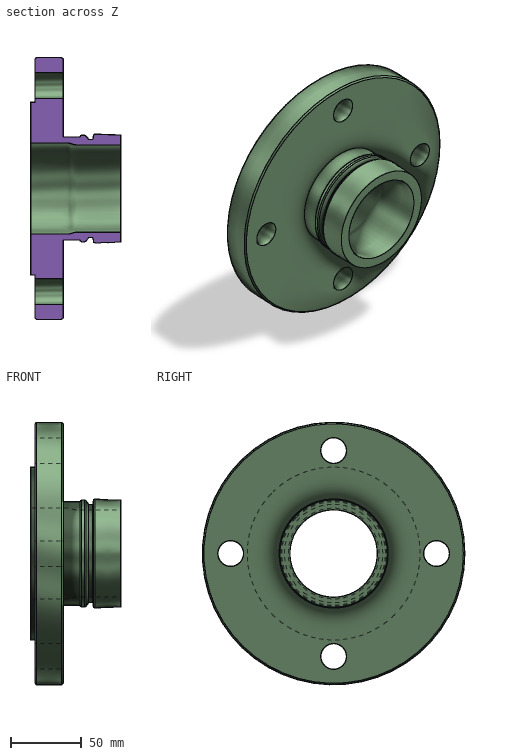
import cadquery as cq
import math

flange_diameter = 185.0
raised_face_diameter = 122.0
raised_face_height = 3.0
flange_back_x = 23.0
flange_chamfer = 1.1

bolt_hole_diameter = 18.0
bolt_circle_diameter = 145.0
bolt_count = 4

total_length = 63.5
neck_diameter = 73.0
collar_diameter = 75.5
collar_front_x = 34.8
collar_back_x = 39.0
collar_front_chamfer = 1.0
collar_back_chamfer_length = 1.1
collar_back_chamfer_depth = 0.5
groove_diameter = 69.4
groove_front_x = 40.9
groove_back_x = 43.7
sleeve_front_x = 44.2
sleeve_diameter = 77.0
sleeve_end_diameter = 75.7
sleeve_chamfer_length = 1.1
sleeve_chamfer_depth = 0.5

bore_diameter = 64.0
throat_diameter = 61.5
throat_taper_start_x = 26.5
throat_taper_angle = math.radians(18)
throat_entry_blend_radius = 4.3
throat_exit_blend_radius = 8.9


def spigot_blank():
    """Revolve the outer outline, drawn as (x, radius), about the X axis."""
    flange_radius = flange_diameter / 2
    raised_face_radius = raised_face_diameter / 2
    neck_radius = neck_diameter / 2
    collar_radius = collar_diameter / 2
    groove_radius = groove_diameter / 2
    sleeve_radius = sleeve_diameter / 2
    outline = [
        (0, 0),
        (0, raised_face_radius),
        (raised_face_height, raised_face_radius),
        (raised_face_height, flange_radius - flange_chamfer),
        (raised_face_height + flange_chamfer, flange_radius),
        (flange_back_x - flange_chamfer, flange_radius),
        (flange_back_x, flange_radius - flange_chamfer),
        (flange_back_x, neck_radius),
        (collar_front_x, neck_radius),
        (collar_front_x, collar_radius - collar_front_chamfer),
        (collar_front_x + collar_front_chamfer, collar_radius),
        (collar_back_x - collar_back_chamfer_length, collar_radius),
        (collar_back_x, collar_radius - collar_back_chamfer_depth),
        (groove_front_x, groove_radius),
        (groove_back_x, groove_radius),
        (sleeve_front_x, sleeve_radius - sleeve_chamfer_depth),
        (sleeve_front_x + sleeve_chamfer_length, sleeve_radius),
        (total_length, sleeve_end_diameter / 2),
        (total_length, 0),
    ]
    return cq.Workplane("XY").polyline(outline).close().revolve(360, (0, 0, 0), (1, 0, 0))


def blend_offset(radius, angle):
    """Axial and radial travel along an arc that turns by the angle from the axial direction."""
    return radius * math.sin(angle), radius * (1 - math.cos(angle))


def bore():
    """Solid of the through bore, which narrows to the throat along a cone with blended ends."""
    bore_radius = bore_diameter / 2
    throat_radius = throat_diameter / 2
    angle = throat_taper_angle

    entry_dx, entry_dr = blend_offset(throat_entry_blend_radius, angle)
    entry_mid_dx, entry_mid_dr = blend_offset(throat_entry_blend_radius, angle / 2)
    exit_dx, exit_dr = blend_offset(throat_exit_blend_radius, angle)
    exit_mid_dx, exit_mid_dr = blend_offset(throat_exit_blend_radius, angle / 2)

    cone_drop = bore_radius - throat_radius - entry_dr - exit_dr
    cone_start_x = throat_taper_start_x + entry_dx
    cone_end_x = cone_start_x + cone_drop / math.tan(angle)
    throat_x = cone_end_x + exit_dx

    outline = (
        cq.Workplane("XY")
        .lineTo(0, bore_radius)
        .lineTo(throat_taper_start_x, bore_radius)
        .threePointArc(
            (throat_taper_start_x + entry_mid_dx, bore_radius - entry_mid_dr),
            (cone_start_x, bore_radius - entry_dr),
        )
        .lineTo(cone_end_x, throat_radius + exit_dr)
        .threePointArc((throat_x - exit_mid_dx, throat_radius + exit_mid_dr), (throat_x, throat_radius))
        .lineTo(total_length, throat_radius)
        .lineTo(total_length, 0)
        .close()
    )
    return outline.revolve(360, (0, 0, 0), (1, 0, 0))


def bolt_holes():
    """Solid of the bolt holes, spaced evenly and parallel to the X axis."""
    return (
        cq.Workplane("YZ")
        .polarArray(bolt_circle_diameter / 2, 0, 360, bolt_count)
        .circle(bolt_hole_diameter / 2)
        .extrude(flange_back_x)
    )


result = spigot_blank().cut(bore()).cut(bolt_holes())